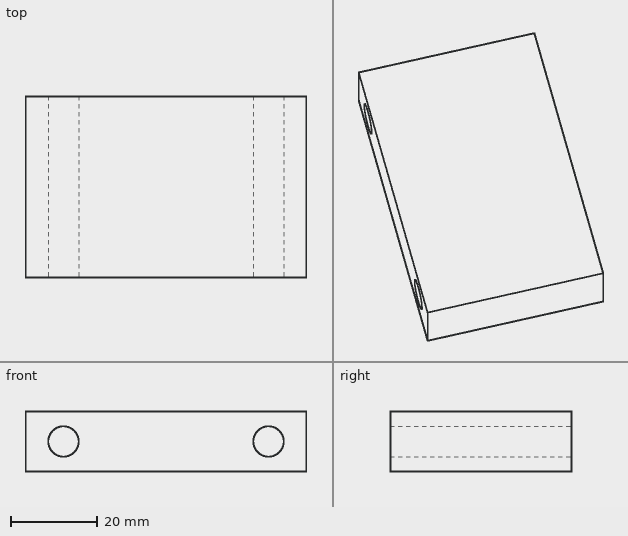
import cadquery as cq

length = 65.0
depth = 42.0
height = 14.0

hole_diameter = 7.0
hole_spacing = 47.5


def make_block():
    """Rectangular block centred on the origin."""
    return cq.Workplane("XY").box(length, depth, height)


def drill_through_holes(block):
    """Drill the pair of holes from the -Y face to the +Y face."""
    hole_centres = [(-hole_spacing / 2, 0), (hole_spacing / 2, 0)]
    front_face = block.faces("<Y").workplane(centerOption="CenterOfMass")
    return front_face.pushPoints(hole_centres).hole(hole_diameter)


result = drill_through_holes(make_block())